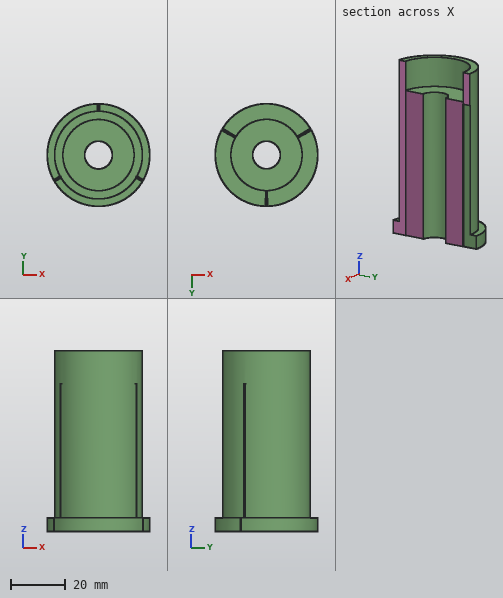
import cadquery as cq

total_height = 66.0
sleeve_diameter = 32.0
bore_diameter = 26.0
flange_diameter = 37.5
flange_thickness = 5.0

socket_depth = 11.0
plug_hole_diameter = 10.0

slot_count = 3
slot_width = 0.6
slot_top = 53.85
first_slot_angle = 90.0
slot_spacing_angle = 360 / slot_count


def make_slot(angle):
    """Radial slot from the axis out past the flange, open at the bottom."""
    return (
        cq.Workplane("XY")
        .box(flange_diameter, slot_width, slot_top, centered=(False, True, False))
        .rotate((0, 0, 0), (0, 0, 1), angle)
    )


def make_sleeve():
    """Flanged tube with slots rising from its flanged end."""
    sleeve = (
        cq.Workplane("XY")
        .circle(flange_diameter / 2)
        .extrude(flange_thickness)
        .union(cq.Workplane("XY").circle(sleeve_diameter / 2).extrude(total_height))
        .cut(cq.Workplane("XY").circle(bore_diameter / 2).extrude(total_height))
    )
    for index in range(slot_count):
        sleeve = sleeve.cut(make_slot(first_slot_angle + index * slot_spacing_angle))
    return sleeve


def make_plug():
    """Round plug with a central through hole, filling the bore up to the socket floor."""
    return (
        cq.Workplane("XY")
        .circle(bore_diameter / 2)
        .circle(plug_hole_diameter / 2)
        .extrude(total_height - socket_depth)
    )


sleeve = make_sleeve()
plug = make_plug()

result = cq.Compound.makeCompound([sleeve.val(), plug.val()])